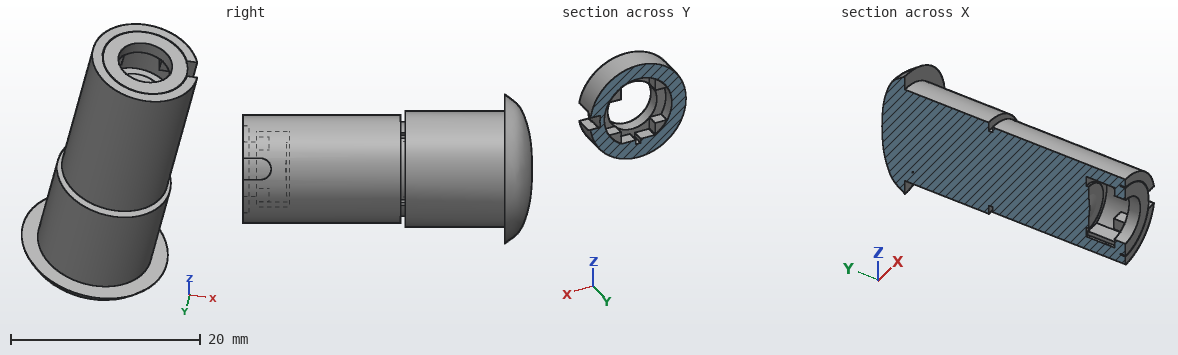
import cadquery as cq

TOTAL_LENGTH = 30.5

HEAD_RADIUS = 7.87
HEAD_HEIGHT = 2.9
CROWN_EDGE_RADIUS = 4.88
CROWN_EDGE_DROP = 0.58
SHOULDER_RADIUS = 6.83
SHOULDER_DROP = 1.55

SLEEVE_RADIUS = 6.13
SLEEVE_FRONT = 17.1
NECK_RADIUS = 5.0
BARREL_RADIUS = 5.7
BARREL_LENGTH = 16.62

NECK_SLOT_WIDTH = 0.85
CORE_SIDE = 7.08

INSERT_RADIUS = 4.55
INSERT_GAP = 0.05
INSERT_GAP_DEPTH = 0.6
BORE_RADIUS = 2.9
LIP_THICKNESS = 1.4

CHAMBER_RADIUS = 3.95
CHAMBER_FLOOR = 4.88
POST_SIDE = 1.52
POST_INNER_CORNER = 2.0
POST_END = 2.75
RAIL_TOP = -3.45
RAIL_INNER_SIDE = 0.27
PEDESTAL_RADIUS = 2.8
PEDESTAL_HEIGHT = 0.3
CONE_RADIUS = 1.52
CONE_HEIGHT = 0.12

NOTCH_WIDTH = 2.25
NOTCH_DEPTH = 3.0

DIAGONALS = (45, 135, 225, 315)


def rod(radius, start, end):
    """Cylinder about the Y axis from Y = start to Y = end."""
    return cq.Workplane("XZ", origin=(0, start, 0)).circle(radius).extrude(start - end)


def bar(width, height, start, end, x=0.0, z=0.0):
    """Box along Y, centred on (x, z)."""
    return cq.Workplane("XZ", origin=(0, start, 0)).center(x, z).rect(width, height).extrude(start - end)


def turned(shape, angle):
    return shape.rotate((0, 0, 0), (0, 1, 0), angle)


def head():
    base = TOTAL_LENGTH - HEAD_HEIGHT
    dome_points = [
        (CROWN_EDGE_RADIUS, TOTAL_LENGTH - CROWN_EDGE_DROP),
        (SHOULDER_RADIUS, TOTAL_LENGTH - SHOULDER_DROP),
        (HEAD_RADIUS, base),
    ]
    rim_direction = (HEAD_RADIUS - SHOULDER_RADIUS, SHOULDER_DROP - HEAD_HEIGHT)
    return (
        cq.Workplane("XY")
        .moveTo(0, base)
        .lineTo(0, TOTAL_LENGTH)
        .spline(dome_points, tangents=[(1, 0), rim_direction], includeCurrent=True)
        .close()
        .revolve(360, (0, 0, 0), (0, 1, 0))
    )


def neck_slots():
    slots = cq.Workplane("XY")
    for angle in DIAGONALS:
        slot = bar(2 * NECK_RADIUS, NECK_SLOT_WIDTH, BARREL_LENGTH, SLEEVE_FRONT, x=NECK_RADIUS)
        slots = slots.add(turned(slot, angle))
    core = bar(CORE_SIDE, CORE_SIDE, BARREL_LENGTH, SLEEVE_FRONT)
    return slots.combine().cut(core)


def chamber():
    space = rod(BORE_RADIUS, 0, LIP_THICKNESS)
    space = space.union(rod(CHAMBER_RADIUS, LIP_THICKNESS, CHAMBER_FLOOR))
    post_centre = POST_INNER_CORNER + POST_SIDE / 2
    for x_side in (-1, 1):
        for z_side in (-1, 1):
            post = bar(
                POST_SIDE, POST_SIDE, LIP_THICKNESS, POST_END, x_side * post_centre, z_side * post_centre
            )
            space = space.cut(post)
    rail_width = CHAMBER_RADIUS - RAIL_INNER_SIDE
    rail_height = CHAMBER_RADIUS + RAIL_TOP
    for x_side in (-1, 1):
        rail = bar(
            rail_width,
            rail_height,
            LIP_THICKNESS,
            CHAMBER_FLOOR,
            x_side * (RAIL_INNER_SIDE + rail_width / 2),
            RAIL_TOP - rail_height / 2,
        )
        space = space.cut(rail)
    pedestal_top = CHAMBER_FLOOR - PEDESTAL_HEIGHT
    cone = cq.Solid.makeCone(
        CONE_RADIUS, 0, CONE_HEIGHT, cq.Vector(0, pedestal_top, 0), cq.Vector(0, -1, 0)
    )
    return space.cut(rod(PEDESTAL_RADIUS, pedestal_top, CHAMBER_FLOOR)).cut(cq.Workplane(cone))


def insert_gap():
    outer = rod(INSERT_RADIUS + INSERT_GAP, 0, INSERT_GAP_DEPTH)
    return outer.cut(rod(INSERT_RADIUS, 0, INSERT_GAP_DEPTH))


def notch():
    end_radius = NOTCH_WIDTH / 2
    straight = NOTCH_DEPTH - end_radius
    outline = (
        cq.Workplane("YZ")
        .moveTo(0, -end_radius)
        .lineTo(straight, -end_radius)
        .threePointArc((NOTCH_DEPTH, 0), (straight, end_radius))
        .lineTo(0, end_radius)
        .close()
        .extrude(BARREL_RADIUS)
    )
    return outline.cut(rod(INSERT_RADIUS, 0, NOTCH_DEPTH))


body = head()
body = body.union(rod(SLEEVE_RADIUS, SLEEVE_FRONT, TOTAL_LENGTH - HEAD_HEIGHT))
body = body.union(rod(NECK_RADIUS, BARREL_LENGTH, SLEEVE_FRONT))
body = body.union(rod(BARREL_RADIUS, 0, BARREL_LENGTH))
result = body.cut(neck_slots()).cut(insert_gap()).cut(notch()).cut(chamber())